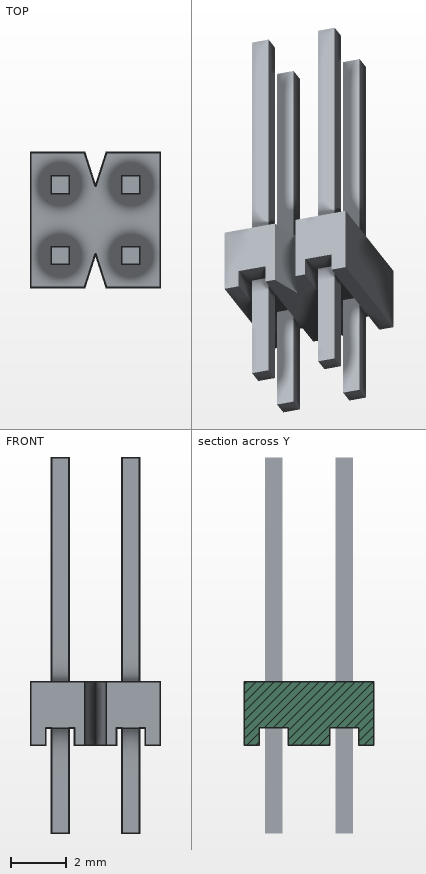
import cadquery as cq

body_width = 4.67
body_depth = 4.87
body_height = 2.3
body_bottom = 3.17

pin_length = 13.54
pin_side = 0.64
pin_pitch = 2.55

notch_width = 0.79
notch_depth = 1.22

channel_width = 1.03
channel_height = 0.62

pin_offsets = (-pin_pitch / 2, pin_pitch / 2)


def make_block(width, depth, height, bottom, x=0, y=0):
    """Upright box centred on (x, y) and standing on the given level."""
    return (
        cq.Workplane("XY", origin=(x, y, bottom))
        .rect(width, depth)
        .extrude(height)
    )


def make_notch(side):
    """Full-height V notch in the front (side = -1) or back (side = 1) face."""
    face_y = side * body_depth / 2
    tip_y = side * (body_depth / 2 - notch_depth)
    return (
        cq.Workplane("XY", origin=(0, 0, body_bottom))
        .polyline([(-notch_width / 2, face_y), (0, tip_y), (notch_width / 2, face_y)])
        .close()
        .extrude(body_height)
    )


body = make_block(body_width, body_depth, body_height, body_bottom)
for side in (-1, 1):
    body = body.cut(make_notch(side))

for x in pin_offsets:
    body = body.cut(make_block(channel_width, body_depth, channel_height, body_bottom, x=x))

result = body
for x in pin_offsets:
    for y in pin_offsets:
        result = result.union(make_block(pin_side, pin_side, pin_length, 0, x, y))